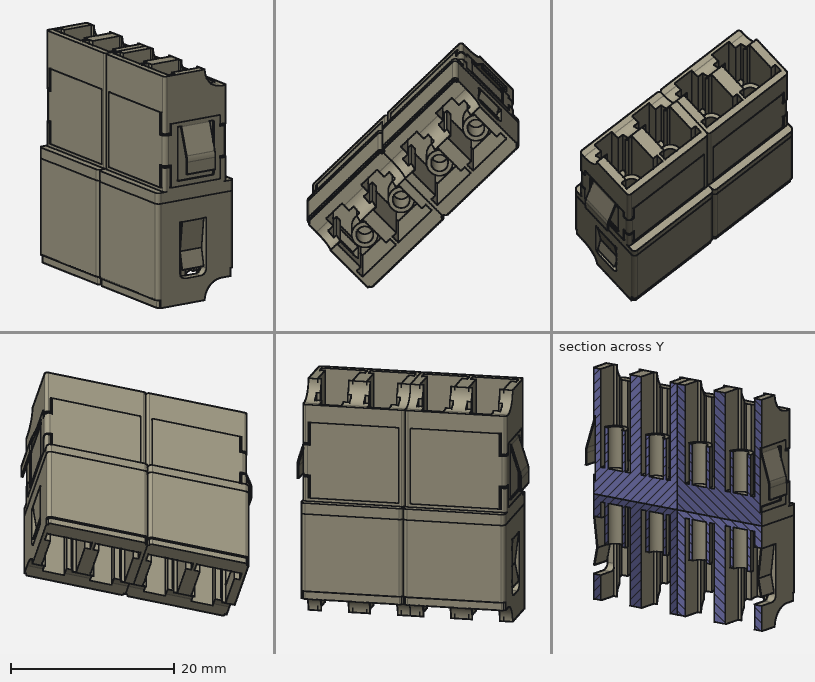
import cadquery as cq
import math


height = 29.35
half_width = 12.82
flange_depth = 11.35
neck_depth = 9.3
flange_radius = 0.5
neck_radius = 0.38
seam_drop = 1.38
scoop_radius = 2.45
scoop_axis_y = 3.85
rim_inset = 0.22
rim_height = 1.03

port_pitch = 6.13
port_floor = 2.23
key_pitch = 6.01
key_width = 2.73
barrel_pitch = 6.25
barrel_y = -1.3
barrel_diameter = 3.2
bore_diameter = 2.08
barrel_tip = 7.42

port_foot_y = -3.75
port_body_y = -2.73
port_rail_y = 1.3
port_shoulder_y = 1.97
port_top_y = 2.95
key_top_y = 4.2
port_foot_width = 5.72
port_body_width = 4.37
port_rail_width = 3.45

sheet = 0.22
clip_corner_radius = 0.6
plate_start = 0.7
plate_end = 12.1
plate_top = 9.98
plate_bottom = 0.4
side_half_depth = 3.65
side_front_gap = 0.15
side_top = 8.55
side_bottom = 0.4
bridge_top = 7.34
bridge_bottom = 3.05
clip_gap = 0.22
plate_corner_radius = 0.15

clip_window_front = -2.67
clip_window_back = 2.73
clip_window_top = 7.98
clip_window_bottom = 1.1
clip_window_radius = 0.2
tab_half_depth = 2.08
overall_width = 28.15
tab_bend_z = 4.15
tab_bend_radius = 2.5
tab_tip_z = 2.15

window_front = -2.32
window_back = 1.58
window_top = -4.2
window_bottom = -11.45
window_radius = 0.85
leaf_front = -1.97
leaf_back = 1.2
leaf_bottom = -10.33
leaf_kink_z = -8.05
leaf_kink_depth = 0.47
leaf_corner_radius = 0.15

top_z = height / 2
bottom_z = -height / 2
outer_x = -half_width
half_centre_x = -half_width / 2
port_wall_x = half_centre_x - (port_pitch + port_body_width) / 2
tab_reach = overall_width / 2 - half_width


def box(x0, x1, y0, y1, z0, z1):
    return cq.Workplane("XY").box(x1 - x0, y1 - y0, z1 - z0, centered=False).translate((x0, y0, z0))


def rounded_block(depth, radius, z0, z1):
    """Full-width block of one half with rounded vertical edges."""
    return box(outer_x, 0, -depth / 2, depth / 2, z0, z1).edges("|Z").fillet(radius)


def end_scoop(end):
    """Quarter-round cut along X at the top (end = 1) or the bottom (end = -1)."""
    edge_y = scoop_axis_y - scoop_radius
    floor_z = end * (top_z - scoop_radius)
    mid = scoop_radius * math.sqrt(0.5)
    return (
        cq.Workplane("YZ", origin=(outer_x, 0, 0))
        .moveTo(edge_y, end * top_z)
        .threePointArc((scoop_axis_y - mid, end * (top_z - mid)), (scoop_axis_y, floor_z))
        .lineTo(flange_depth, floor_z)
        .lineTo(flange_depth, end * top_z)
        .close()
        .extrude(half_width)
    )


def port_cutter(side, end):
    """Stepped port with a latch keyway; the barrel is left standing on its floor."""
    centre = half_centre_x + side * port_pitch / 2
    key_centre = half_centre_x + side * key_pitch / 2
    barrel_centre = half_centre_x + side * barrel_pitch / 2
    z0, z1 = sorted((end * port_floor, end * top_z))

    def step(x, width, y0, y1):
        return box(x - width / 2, x + width / 2, y0, y1, z0, z1)

    port = step(centre, port_foot_width, port_foot_y, port_body_y)
    port = port.union(step(centre, port_body_width, port_body_y, port_rail_y))
    port = port.union(step(centre, port_rail_width, port_rail_y, port_shoulder_y))
    port = port.union(step(centre, port_body_width, port_shoulder_y, port_top_y))
    port = port.union(step(key_centre, key_width, port_top_y, key_top_y))
    barrel = (
        cq.Workplane("XY", origin=(barrel_centre, barrel_y, end * port_floor))
        .circle(barrel_diameter / 2)
        .circle(bore_diameter / 2)
        .extrude(end * (barrel_tip - port_floor))
    )
    return port.cut(barrel)


def add_ports(housing, end):
    housing = housing.cut(end_scoop(end))
    for side in (-1, 1):
        housing = housing.cut(port_cutter(side, end))
    return housing


def clip_layer():
    """Skin of sheet thickness around the upper block, with the clip's corner rounds."""
    core_depth = neck_depth - 2 * sheet
    core = box(outer_x + sheet, 0, -core_depth / 2, core_depth / 2, 0, top_z)
    return core.edges("|Z and <X").fillet(clip_corner_radius - sheet)


def clip_region(edge_gap, side_play):
    """Space of the front, side and back plates and the bridges joining them."""
    deep = neck_depth
    plates = box(outer_x + plate_start + edge_gap, outer_x + plate_end, -deep, deep, plate_bottom, plate_top)
    plates = plates.edges("|Y and >X").fillet(plate_corner_radius)
    side_front = -side_half_depth - side_play
    side = box(outer_x, outer_x + sheet, side_front, side_half_depth, side_bottom, side_top)
    side = side.edges("|X").fillet(plate_corner_radius)
    bridge_end = outer_x + plate_start + 2 * clip_gap
    bridge = box(outer_x, bridge_end, -deep, deep, bridge_bottom + edge_gap, bridge_top - edge_gap)
    return plates.union(side).union(bridge)


def upper_housing():
    neck = rounded_block(neck_depth, neck_radius, -seam_drop, top_z)
    flange = rounded_block(flange_depth, flange_radius, -seam_drop, 0)
    housing = add_ports(neck.union(flange), 1)
    return housing.cut(clip_region(0, side_front_gap).cut(clip_layer()))


def foot_step(y_side, step_z):
    """Step along one Y face of the foot, turning its corners and ending at the flat X sides."""
    y0, y1 = sorted((y_side * (flange_depth / 2 - flange_radius), y_side * flange_depth / 2))
    foot_depth = flange_depth - 2 * rim_inset
    foot = box(outer_x + rim_inset, -rim_inset, -foot_depth / 2, foot_depth / 2, bottom_z, step_z)
    foot = foot.edges("|Z").fillet(flange_radius - rim_inset)
    return box(outer_x, 0, y0, y1, bottom_z, step_z).cut(foot)


def lower_housing():
    housing = rounded_block(flange_depth, flange_radius, bottom_z, -seam_drop)
    housing = housing.cut(foot_step(-1, bottom_z + rim_height))
    housing = housing.cut(foot_step(1, bottom_z + scoop_radius + rim_height))
    housing = add_ports(housing, -1)
    window = box(outer_x, port_wall_x, window_front, window_back, window_bottom, window_top)
    return housing.cut(window.edges("|X and <Z").fillet(window_radius))


def spring_clip():
    """Three flush plates around the outer side, with a bent tab on the side plate."""
    blank = box(outer_x, 0, -neck_depth / 2, neck_depth / 2, 0, top_z)
    blank = blank.edges("|Z and <X").fillet(clip_corner_radius).cut(clip_layer())
    clip = blank.intersect(clip_region(clip_gap, 0))
    window = box(
        outer_x, outer_x + sheet,
        clip_window_front, clip_window_back,
        clip_window_bottom, clip_window_top,
    )
    clip = clip.cut(window.edges("|X").fillet(clip_window_radius))
    return clip.union(clip_tab())


def clip_tab():
    """Tab that slopes outward from the top of the clip window and ends upright."""
    tip_x = outer_x - tab_reach
    slope = (clip_window_top - tab_bend_z) / tab_reach
    drop = sheet * (math.hypot(1, slope) - slope)
    tab = (
        cq.Workplane("XZ", origin=(0, tab_half_depth, 0))
        .moveTo(outer_x, clip_window_top)
        .lineTo(tip_x, tab_bend_z)
        .lineTo(tip_x, tab_tip_z)
        .lineTo(tip_x + sheet, tab_tip_z)
        .lineTo(tip_x + sheet, tab_bend_z - drop)
        .lineTo(outer_x + sheet, clip_window_top - drop)
        .lineTo(outer_x + sheet, clip_window_top)
        .close()
        .extrude(2 * tab_half_depth)
    )
    outer_bend = cq.selectors.NearestToPointSelector((tip_x, 0, tab_bend_z))
    inner_bend = cq.selectors.NearestToPointSelector((tip_x + sheet, 0, tab_bend_z - drop))
    tab = tab.edges("|Y").edges(outer_bend).fillet(tab_bend_radius)
    return tab.edges("|Y").edges(inner_bend).fillet(tab_bend_radius - sheet)


def leaf_spring():
    """Thin strip in the side window, kinked inward, hanging from the window's top."""
    kink_x = outer_x + leaf_kink_depth
    leaf = (
        cq.Workplane("XZ", origin=(0, leaf_back, 0))
        .moveTo(outer_x, window_top)
        .lineTo(kink_x, leaf_kink_z)
        .lineTo(outer_x, leaf_bottom)
        .lineTo(outer_x + sheet, leaf_bottom)
        .lineTo(kink_x + sheet, leaf_kink_z)
        .lineTo(outer_x + sheet, window_top)
        .close()
        .extrude(leaf_back - leaf_front)
    )
    return leaf.faces("<Z").edges("|X").fillet(leaf_corner_radius)


bodies = []
for make_body in (upper_housing, lower_housing, spring_clip, leaf_spring):
    left_body = make_body()
    right_body = left_body.mirror("YZ")
    bodies.append(left_body.solids().val())
    bodies.append(right_body.solids().val())

result = cq.Compound.makeCompound(bodies)